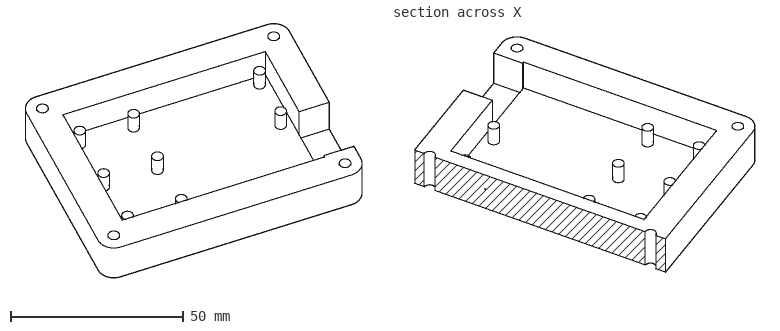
import cadquery as cq

width = 63.5
length = 82.7
height = 13.0
corner_radius = 5.0

wall = 9.5
pocket_depth = 10.0
pocket_floor_z = height - pocket_depth
pocket_width = width - 2 * wall
pocket_length = length - 2 * wall

opening_left_x = 3.15
opening_width = 18.5
opening_depth = 11.7

screw_hole_diameter = 3.4

pin_diameter = 3.4
pin_height = 6.0
pin_column_spacing = 17.95
pin_row_ys = (-28.4, -11.4)
controller_pin_centers = [(-19.3, 28.8), (-2.4, 28.4)]


def rounded_block():
    block = cq.Workplane("XY").box(width, length, height, centered=(True, True, False))
    return block.edges("|Z").fillet(corner_radius)


def pocket():
    return (
        cq.Workplane("XY", origin=(0, 0, pocket_floor_z))
        .box(pocket_width, pocket_length, pocket_depth, centered=(True, True, False))
    )


def cable_opening():
    corner = (opening_left_x, length / 2 - wall, height - opening_depth)
    return cq.Workplane("XY", origin=corner).box(opening_width, wall, opening_depth, centered=False)


def screw_holes():
    return (
        cq.Workplane("XY")
        .rect(width - 2 * corner_radius, length - 2 * corner_radius, forConstruction=True)
        .vertices()
        .circle(screw_hole_diameter / 2)
        .extrude(height)
    )


def support_pins():
    grid_centers = [(column * pin_column_spacing, y) for column in (-1, 0, 1) for y in pin_row_ys]
    return (
        cq.Workplane("XY")
        .pushPoints(grid_centers + controller_pin_centers)
        .circle(pin_diameter / 2)
        .extrude(pocket_floor_z + pin_height)
    )


result = (
    rounded_block()
    .cut(pocket())
    .cut(cable_opening())
    .cut(screw_holes())
    .union(support_pins())
)